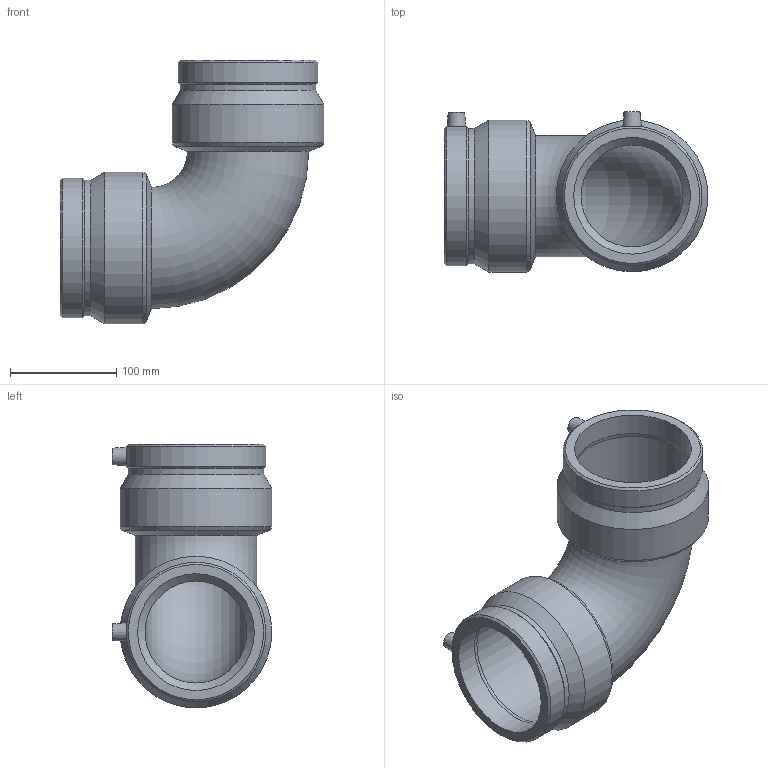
import cadquery as cq
import math

face_to_axis = 177.22
pipe_radius = 57.15
bore_radius = 48.0
socket_length = 86.1

band_radius = 131.56 / 2
neck_radius = 127.61 / 2
body_radius = 143.0 / 2
shoulder_radius = 69.5
band_chamfer = band_radius - neck_radius
band_end = 20.8
neck_end = 28.4
body_start = 42.3
body_end = 78.1
shoulder_end = 81.2

socket_bore_radius = 55.6
mouth_radius = 110.0 / 2
mouth_end = 21.2
mouth_step_end = 24.9
bore_cone_start = 78.5

pin_tip_y = 79.0
pin_root_y = 60.0
pin_tip_radius = 7.8
pin_draft = 4.0
pin_offset = 11.7

bend_radius = face_to_axis - socket_length


def turned(profile):
    """Turn (radius, depth) points about Z, depth running down from the +Z socket face."""
    points = [(radius, face_to_axis - depth) for radius, depth in profile]
    return cq.Workplane("XZ").polyline(points).close().revolve(360, (0, 0), (0, 1))


def bend(radius):
    """Quarter torus joining the +Z leg to the -X leg."""
    return (
        cq.Workplane("XY", origin=(0, 0, bend_radius))
        .circle(radius)
        .revolve(90, (-bend_radius, 0), (-bend_radius, 1))
    )


def socket_outside():
    return turned([
        (0, 0),
        (band_radius - band_chamfer, 0),
        (band_radius, band_chamfer),
        (band_radius, band_end),
        (neck_radius, band_end + band_chamfer),
        (neck_radius, neck_end),
        (body_radius, body_start),
        (body_radius, body_end),
        (shoulder_radius, shoulder_end),
        (pipe_radius, socket_length),
        (0, socket_length),
    ])


def socket_inside():
    return turned([
        (0, 0),
        (mouth_radius, 0),
        (mouth_radius, mouth_end),
        (socket_bore_radius, mouth_step_end),
        (socket_bore_radius, bore_cone_start),
        (bore_radius, socket_length),
        (0, socket_length),
    ])


def pin():
    root_radius = pin_tip_radius + (pin_tip_y - pin_root_y) * math.tan(math.radians(pin_draft))
    cone = cq.Solid.makeCone(
        root_radius,
        pin_tip_radius,
        pin_tip_y - pin_root_y,
        cq.Vector(0, pin_root_y, face_to_axis - pin_offset),
        cq.Vector(0, 1, 0),
    )
    return cq.Workplane(cone)


def on_both_legs(leg):
    """The +Z leg together with its copy swung onto the -X axis."""
    return leg.union(leg.rotate((0, 0, 0), (0, 1, 0), -90))


outside = bend(pipe_radius).union(on_both_legs(socket_outside().union(pin())))
inside = bend(bore_radius).union(on_both_legs(socket_inside()))
result = outside.cut(inside)